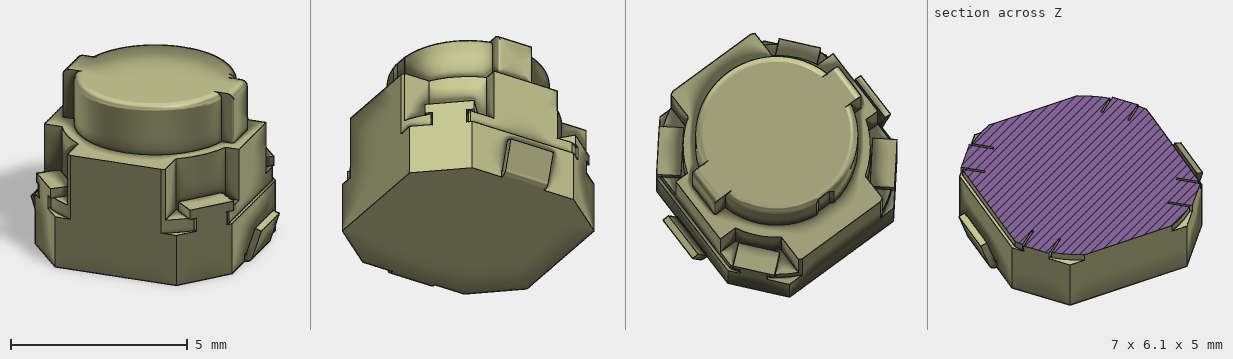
import cadquery as cq
import math

length_x = 7.0
width_y = 6.1
height = 5.0

base_x = 5.985
base_height = 1.54
base_corner_x = 1.84
base_corner_angle = 50.0

housing_x = 5.795
housing_radius = 3.345
housing_top = 3.5

notch_floor = 1.94
notch_x = 1.485
notch_radius = 2.645
wide_notch_y = 0.895
narrow_notch_y = 1.2

wide_head = 1.4
narrow_head = 1.205
head_overhang = 0.21
head_top = 2.225
post_depth = 0.69
post_offset = 0.44
stem_clearance = 0.05

button_radius = 2.295
button_round = 0.2
lug_x = 5.195
lug_y = 1.09
lug_corner_radius = 0.05
flat_y = 2.22
flat_bottom_x = 0.38
flat_opening_x = 0.7
flat_cut_depth = 2 * (button_radius - flat_y)

terminal_width = 1.4
terminal_thickness = 0.2
terminal_lean = math.radians(18)
terminal_leg = 0.9

corner_angle = math.radians(base_corner_angle)
corner_leg_x = (base_x - 2 * base_corner_x) / 2
corner_side_y = width_y / 2 - corner_leg_x * math.tan(corner_angle)


def make_base():
    quadrant = [(base_corner_x, width_y / 2), (base_x / 2, corner_side_y)]
    right_side = quadrant + [(x, -y) for x, y in reversed(quadrant)]
    left_side = [(-x, -y) for x, y in right_side]
    return cq.Workplane("XY").polyline(right_side + left_side).close().extrude(base_height)


def move_to_corner(shape, sign_x, sign_y):
    """Mirror a shape built in the +X +Y quadrant into the quadrant given by the signs."""
    if sign_x < 0:
        shape = shape.mirror("YZ")
    if sign_y < 0:
        shape = shape.mirror("XZ")
    return shape


def make_notch(sign_x, sign_y, wall_y):
    """Corner cut with two flat walls and the round inner wall between them."""
    depth = housing_top - notch_floor
    block = (
        cq.Workplane("XY")
        .box(length_x, width_y, depth, centered=False)
        .translate((notch_x, wall_y, notch_floor))
    )
    core = cq.Workplane("XY").workplane(offset=notch_floor).circle(notch_radius).extrude(depth)
    return move_to_corner(block.cut(core), sign_x, sign_y)


def make_corner_block(sign_x, sign_y, start, width, bottom, top):
    """Block lying inward of a cut corner, starting at a distance along that corner."""
    block = (
        cq.Workplane("XY")
        .box(width, post_depth, top - bottom, centered=False)
        .translate((start, -post_depth, 0))
        .rotate((0, 0, 0), (0, 0, 1), -base_corner_angle)
        .translate((base_corner_x, width_y / 2, bottom))
    )
    return move_to_corner(block, sign_x, sign_y)


def add_post(body, sign_x, sign_y, head_width):
    """Clear a slot in the housing, then place the stem and the head of one post."""
    stem_start = post_offset + head_overhang
    stem_width = head_width - 2 * head_overhang
    slot_start = stem_start - stem_clearance
    slot_width = stem_width + 2 * stem_clearance
    slot = make_corner_block(sign_x, sign_y, slot_start, slot_width, base_height, notch_floor)
    stem = make_corner_block(sign_x, sign_y, stem_start, stem_width, base_height, notch_floor)
    head = make_corner_block(sign_x, sign_y, post_offset, head_width, notch_floor, head_top)
    return body.cut(slot).union(stem).union(head)


def make_housing():
    housing_height = housing_top - base_height
    block = cq.Workplane("XY").rect(housing_x, width_y).extrude(housing_height)
    trim = cq.Workplane("XY").circle(housing_radius).extrude(housing_height)
    return block.intersect(trim).translate((0, 0, base_height))


def make_button():
    button_height = height - housing_top
    top_plane = cq.Workplane("XY").workplane(offset=housing_top)
    disc = top_plane.circle(button_radius).extrude(button_height).faces(">Z").edges().fillet(button_round)
    flat = (
        top_plane.center(0, flat_y)
        .polyline([
            (-flat_bottom_x / 2, 0),
            (flat_bottom_x / 2, 0),
            (flat_opening_x / 2, button_radius - flat_y),
            (flat_opening_x / 2, flat_cut_depth),
            (-flat_opening_x / 2, flat_cut_depth),
            (-flat_opening_x / 2, button_radius - flat_y),
        ])
        .close()
        .extrude(button_height)
    )
    lugs = top_plane.rect(lug_x, lug_y).extrude(button_height).edges("|Z").fillet(lug_corner_radius)
    rounded_bar = (
        top_plane.rect(lug_x, lug_y)
        .extrude(button_height)
        .faces(">Z")
        .edges("|Y")
        .fillet(button_round)
    )
    return disc.cut(flat).union(lugs.intersect(rounded_bar))


def make_terminal():
    """Strip on the +X side that leaves the base at the bottom and bends upward."""
    along = (math.sin(terminal_lean), math.cos(terminal_lean))
    outward = (math.cos(terminal_lean), -math.sin(terminal_lean))
    bend_x = length_x / 2 - terminal_leg * along[0] - terminal_thickness * outward[0]
    bend_z = terminal_thickness

    def from_bend(up, out):
        return (bend_x + up * along[0] + out * outward[0], bend_z + up * along[1] + out * outward[1])

    mid_angle = (math.pi / 2 - terminal_lean) / 2
    bend_mid = (
        bend_x + terminal_thickness * math.sin(mid_angle),
        bend_z - terminal_thickness * math.cos(mid_angle),
    )
    root_x = base_x / 2 - terminal_thickness
    return (
        cq.Workplane("XZ")
        .moveTo(root_x, 0)
        .lineTo(bend_x, 0)
        .threePointArc(bend_mid, from_bend(0, terminal_thickness))
        .lineTo(*from_bend(terminal_leg, terminal_thickness))
        .lineTo(*from_bend(terminal_leg, 0))
        .lineTo(bend_x, bend_z)
        .lineTo(root_x, bend_z)
        .close()
        .extrude(terminal_width / 2, both=True)
    )


corners = [
    (1, 1, narrow_notch_y, narrow_head),
    (-1, 1, wide_notch_y, wide_head),
    (-1, -1, narrow_notch_y, narrow_head),
    (1, -1, wide_notch_y, wide_head),
]

result = make_base().union(make_housing())
for sign_x, sign_y, wall_y, head_width in corners:
    result = result.cut(make_notch(sign_x, sign_y, wall_y))
    result = add_post(result, sign_x, sign_y, head_width)

terminal = make_terminal()
result = result.union(make_button()).union(terminal).union(terminal.mirror("YZ"))